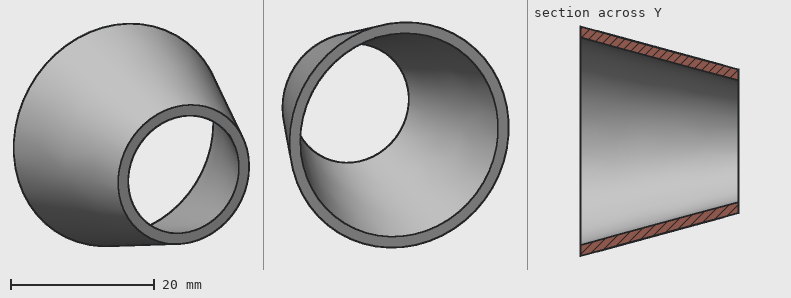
import cadquery as cq

length = 22.0
wide_diameter = 32.0
narrow_diameter = 20.0
radial_wall = 1.57

wide_radius = wide_diameter / 2
narrow_radius = narrow_diameter / 2

wall_section = (
    cq.Workplane("XY")
    .moveTo(0, wide_radius - radial_wall)
    .lineTo(0, wide_radius)
    .lineTo(length, narrow_radius)
    .lineTo(length, narrow_radius - radial_wall)
    .close()
)

result = wall_section.revolve(360, (0, 0, 0), (1, 0, 0))